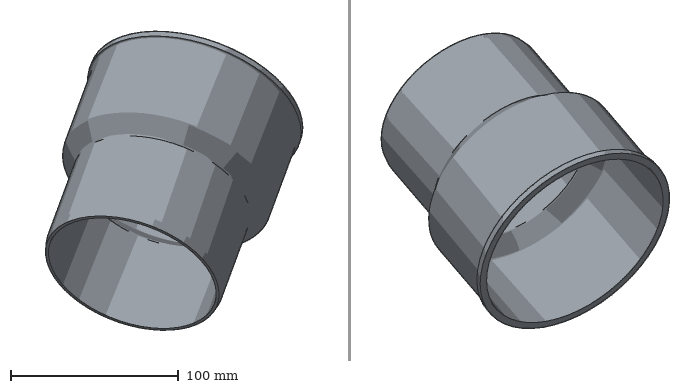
import cadquery as cq
import math

length = 132.0
rim_radius = 133 / 2
socket_radius = 129.8 / 2
socket_bore_radius = 124.0 / 2
spigot_radius = 110.3 / 2
spigot_bore_radius = 104.5 / 2

rim_width = 3.7
rim_fillet = 0.9
socket_length = 60.9
bend_fillet = 1.3
tip_chamfer_length = 4.7
tip_chamfer_depth = 1.0

wall = socket_radius - socket_bore_radius
bore_shift = wall * math.tan(math.radians(45 / 2))

rim_face_y = length / 2
tip_y = -length / 2
rim_back_y = rim_face_y - rim_width
cone_wide_y = rim_face_y - socket_length
cone_narrow_y = cone_wide_y - (socket_radius - spigot_radius)
bore_wide_y = cone_wide_y + bore_shift
bore_narrow_y = bore_wide_y - (socket_bore_radius - spigot_bore_radius)


def revolve_about_y(points):
    return cq.Workplane("XY").polyline(points).close().revolve(360, (0, 0, 0), (0, 1, 0))


def fillet_circle(body, radius, y, fillet_radius):
    """Round the circular edge of the given radius at position y along the axis."""
    margin = 0.1
    reach = radius + margin
    thin_slab = cq.selectors.BoxSelector(
        (-reach, y - margin, -reach), (reach, y + margin, reach), boundingbox=True
    )
    return body.edges(thin_slab).fillet(fillet_radius)


outer = revolve_about_y([
    (0, tip_y),
    (spigot_radius - tip_chamfer_depth, tip_y),
    (spigot_radius, tip_y + tip_chamfer_length),
    (spigot_radius, cone_narrow_y),
    (socket_radius, cone_wide_y),
    (socket_radius, rim_back_y),
    (rim_radius, rim_back_y),
    (rim_radius, rim_face_y),
    (0, rim_face_y),
])
outer = fillet_circle(outer, socket_radius, rim_back_y, rim_fillet)
outer = fillet_circle(outer, socket_radius, cone_wide_y, bend_fillet)
outer = fillet_circle(outer, spigot_radius, cone_narrow_y, bend_fillet)

bore = revolve_about_y([
    (0, tip_y),
    (spigot_bore_radius, tip_y),
    (spigot_bore_radius, bore_narrow_y),
    (socket_bore_radius, bore_wide_y),
    (socket_bore_radius, rim_face_y),
    (0, rim_face_y),
])
bore = fillet_circle(bore, socket_bore_radius, bore_wide_y, bend_fillet)
bore = fillet_circle(bore, spigot_bore_radius, bore_narrow_y, bend_fillet)

result = outer.cut(bore)